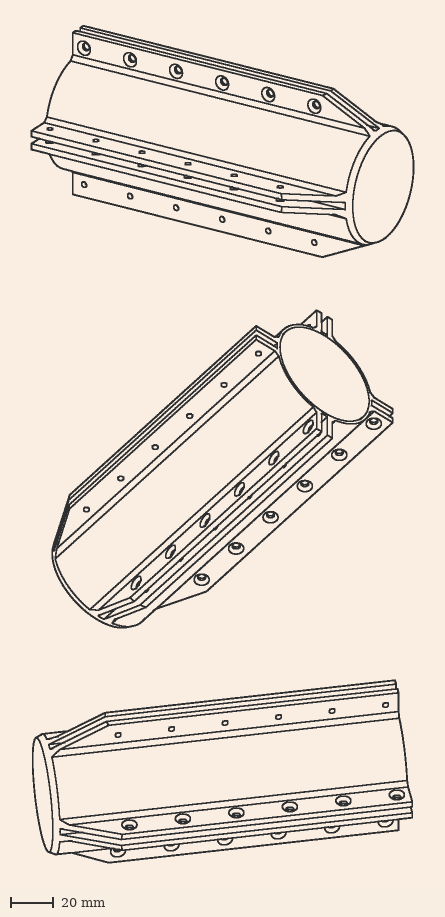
import cadquery as cq
import math

length = 168.5
outer_radius = 28.5
inner_radius = 27.0

overall_width = 82.7
flange_tip = overall_width / 2
flange_thickness = 3.0
flange_gap = 3.5
root_chamfer = 2.0
pair_half_width = flange_gap / 2 + flange_thickness

taper_start = 138.5

hole_count = 6
hole_pitch = 25.5
first_hole = 6.2
hole_radial_position = 34.9
plain_radius = 1.3
clearance_radius = 1.9
countersink_radius = 3.5
countersink_depth = countersink_radius - clearance_radius

X_AXIS = ((0, 0, 0), (1, 0, 0))


def flange_pair_blank():
    """Closed +Z flange pair with chamfers running from its sides onto the tube surface."""
    root_angle = math.asin(pair_half_width / outer_radius)
    chamfer_top = outer_radius * math.cos(root_angle) + root_chamfer
    chamfer_angle = root_angle + root_chamfer / outer_radius
    chamfer_foot_y = outer_radius * math.sin(chamfer_angle)
    chamfer_foot_z = outer_radius * math.cos(chamfer_angle)
    outline = [
        (0, 0),
        (chamfer_foot_y, chamfer_foot_z),
        (pair_half_width, chamfer_top),
        (pair_half_width, flange_tip),
        (-pair_half_width, flange_tip),
        (-pair_half_width, chamfer_top),
        (-chamfer_foot_y, chamfer_foot_z),
    ]
    return cq.Workplane("YZ").polyline(outline).close().extrude(length)


def flange_slot():
    """Gap between the two +Z flanges, with its floor tangent to the tube."""
    slot_height = flange_tip - outer_radius
    slot_center = (0, outer_radius + slot_height / 2)
    return cq.Workplane("YZ").center(*slot_center).rect(flange_gap, slot_height).extrude(length)


def screw_hole(x):
    """Cutter for one hole through the +Z pair, countersunk from the -Y side."""
    profile = [
        (0, -pair_half_width),
        (countersink_radius, -pair_half_width),
        (clearance_radius, -pair_half_width + countersink_depth),
        (clearance_radius, 0),
        (plain_radius, 0),
        (plain_radius, pair_half_width),
        (0, pair_half_width),
    ]
    cutter = cq.Workplane("XY").polyline(profile).close().revolve(360, (0, 0, 0), (0, 1, 0))
    return cutter.translate((x, 0, hole_radial_position))


def taper_envelope():
    """Cone along the whole length that clears the flanges up to the taper start."""
    taper_slope = (flange_tip - inner_radius) / (length - taper_start)
    base_radius = inner_radius + taper_slope * length
    outline = [(0, 0), (0, base_radius), (length, inner_radius), (length, 0)]
    return cq.Workplane("XY").polyline(outline).close().revolve(360, *X_AXIS)


flange_pair = flange_pair_blank().cut(flange_slot())
for index in range(hole_count):
    flange_pair = flange_pair.cut(screw_hole(first_hole + index * hole_pitch))

body = cq.Workplane("YZ").circle(outer_radius).extrude(length)
for angle in (0, 90, 180, 270):
    body = body.union(flange_pair.rotate(*X_AXIS, angle))

bore = cq.Workplane("YZ").circle(inner_radius).extrude(length)
result = body.intersect(taper_envelope()).cut(bore)